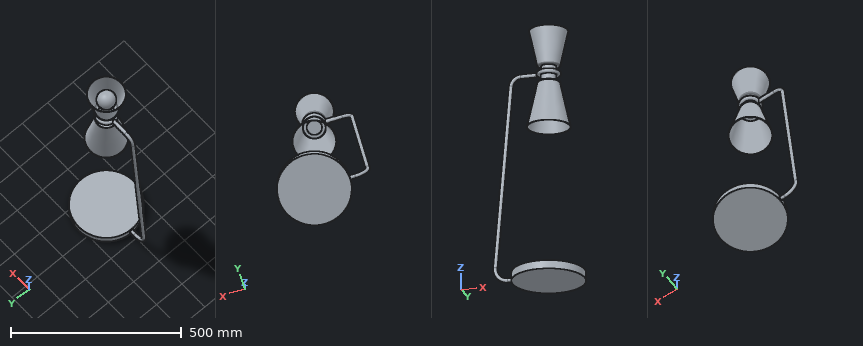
import cadquery as cq
import math

base_diameter = 220.0
base_height = 26.5

total_height = 777.0
upper_shade_height = 110.0
lower_shade_height = 139.0
upper_rim_radius = 58.0
lower_rim_radius = 65.0
shade_end_radius = 34.0
upper_shade_fillet = 4.0
shade_wall = 1.5
neck_length = 49.0
neck_radius = 22.5
neck_top = total_height - upper_shade_height
neck_bottom = neck_top - neck_length

rod_radius = 7.0
ring_radius = neck_radius + rod_radius
ring_height = 644.5
foot_height = 15.0
lower_bend_radius = 39.0
upper_bend_radius = 30.0
lower_bend_x = -125.0
upper_bend_x = -85.5

bulb_radius = 29.5
bulb_height = 739.0
stem_radius = 15.5


def make_base():
    return cq.Workplane("XY").circle(base_diameter / 2).extrude(base_height)


def make_arm(base):
    lower_center_z = foot_height + lower_bend_radius
    upper_center_z = ring_height - upper_bend_radius
    run = upper_bend_x - lower_bend_x
    rise = upper_center_z - lower_center_z
    lean = math.atan2(run, rise) + math.asin(
        (lower_bend_radius - upper_bend_radius) / math.hypot(run, rise)
    )

    def on_lower_bend(angle):
        return (
            lower_bend_x - lower_bend_radius * math.cos(angle),
            lower_center_z + lower_bend_radius * math.sin(angle),
        )

    def on_upper_bend(angle):
        return (
            upper_bend_x - upper_bend_radius * math.cos(angle),
            upper_center_z + upper_bend_radius * math.sin(angle),
        )

    foot_end_x = -base_diameter / 2 + rod_radius
    path = (
        cq.Workplane("XZ")
        .moveTo(foot_end_x, foot_height)
        .lineTo(lower_bend_x, foot_height)
        .threePointArc(on_lower_bend((lean - math.pi / 2) / 2), on_lower_bend(lean))
        .lineTo(*on_upper_bend(lean))
        .threePointArc(on_upper_bend((lean + math.pi / 2) / 2), on_upper_bend(math.pi / 2))
        .lineTo(-ring_radius, ring_height)
    )
    rod = (
        cq.Workplane("YZ", origin=(foot_end_x, 0, foot_height))
        .circle(rod_radius)
        .sweep(path)
    )
    ring = cq.Workplane(
        cq.Solid.makeTorus(ring_radius, rod_radius, cq.Vector(0, 0, ring_height))
    )
    return rod.cut(base).union(ring)


def make_shade(rim_radius, height, end_fillet=0):
    """Open cup with its closed end at Z = 0 and its rim at the top."""
    cup = (
        cq.Workplane("XZ")
        .polyline([(0, 0), (shade_end_radius, 0), (rim_radius, height), (0, height)])
        .close()
        .revolve(360, (0, 0), (0, 1))
    )
    if end_fillet > 0:
        cup = cup.faces("<Z").edges().fillet(end_fillet)
    return cup.faces(">Z").shell(-shade_wall)


def make_shades():
    upper = make_shade(upper_rim_radius, upper_shade_height, upper_shade_fillet)
    upper = upper.translate((0, 0, neck_top))
    lower = (
        make_shade(lower_rim_radius, lower_shade_height)
        .rotate((0, 0, 0), (1, 0, 0), 180)
        .translate((0, 0, neck_bottom))
    )
    neck = (
        cq.Workplane("XY", origin=(0, 0, neck_bottom))
        .circle(neck_radius)
        .extrude(neck_length)
    )
    return neck.union(upper).union(lower)


def make_bulb():
    stem_bottom = neck_top + shade_wall
    stem = (
        cq.Workplane("XY", origin=(0, 0, stem_bottom))
        .circle(stem_radius)
        .extrude(bulb_height - stem_bottom)
    )
    globe = cq.Workplane("XY", origin=(0, 0, bulb_height)).sphere(bulb_radius)
    return globe.union(stem)


base = make_base()
arm = make_arm(base)
shades = make_shades()
bulb = make_bulb()

bodies = [base, arm, shades, bulb]
result = cq.Compound.makeCompound([body.solids().val() for body in bodies])